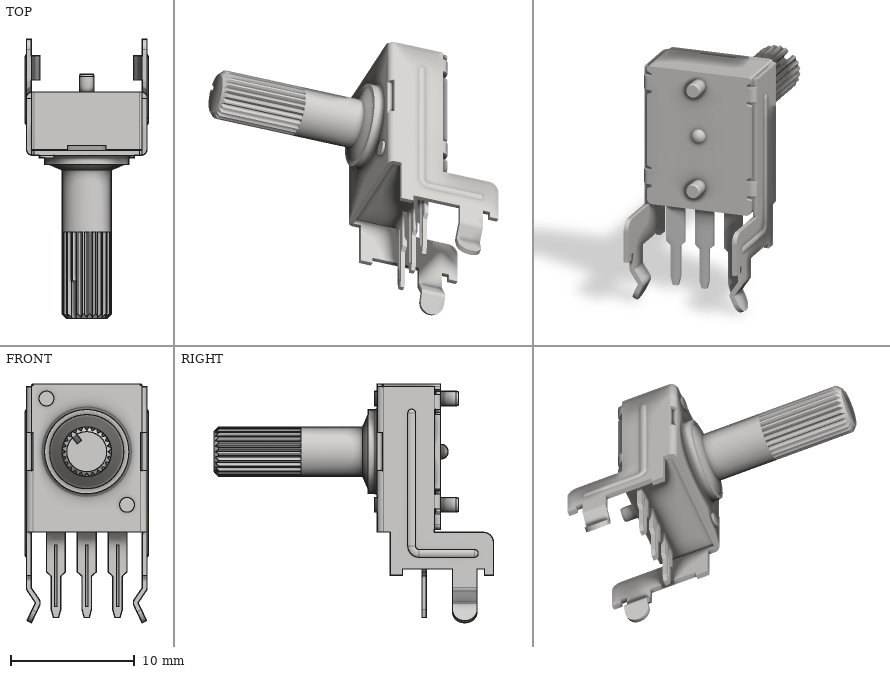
import cadquery as cq
import math


SHEET = 0.4
BRACKET_HALF_WIDTH = 4.88
INNER_HALF_WIDTH = BRACKET_HALF_WIDTH - SHEET
BEND_RADIUS = 0.52
SIDE_TOP = 5.27
SIDE_BACK = 4.6
FRONT_BOTTOM = -6.5
PLATE_CORNER_CHAMFER = 0.2
RELIEF_WIDTH = 3.07

LEG_FRONT = 1.05
LEG_BACK = 9.4
LEG_CORNER_RADIUS = 0.84
LEG_BOTTOM = -9.5
FOOT_BOTTOM = -10.0
FRONT_FOOT_BACK = 2.05
BACK_FOOT_FRONT = 8.65

TONGUE_Y = 7.07
TONGUE_WIDTH = 2.0
TONGUE_BEND_Z = -11.0
TONGUE_KNEE_X = -3.68
TONGUE_KNEE_Z = -12.18
TONGUE_BOTTOM = -13.83
TONGUE_INNER_RADIUS = 0.11
TONGUE_OUTER_RADIUS = TONGUE_INNER_RADIUS + SHEET
TIP_ROUNDING = 0.97

BEAD_HEIGHT = 0.11
BEAD_WIDTH = 0.63
BEAD_RADIUS = ((BEAD_WIDTH / 2) ** 2 + BEAD_HEIGHT ** 2) / (2 * BEAD_HEIGHT)
BEAD_Y = 2.78
BEAD_Z = -8.23
BEAD_TOP = 3.12
BEAD_BACK = 7.85
BEAD_BEND_RADIUS = 0.6

TAB_CENTRES = (4.02, -4.02)
TAB_WIDTH = 1.2
TAB_BEND_RADIUS = 0.5
TAB_REACH = 0.8

COLLAR_DIAMETER = 6.8
COLLAR_BORE = 6.0
COLLAR_LENGTH = 0.75
COLLAR_FILLET = 0.2

HOUSING_BACK = 5.13
HOUSING_TOP = 5.47
HOUSING_BOTTOM = -6.3
TOP_ROUNDING = 0.192
BOTTOM_ROUNDING = 0.4
SEAM = 0.1
TOP_SLOT_BACK = 0.81
TOP_SLOT_DEPTH = 0.35
TAB_POCKET_LENGTH = 2.01
TAB_POCKET_TAPER = 0.15
PIN_DIAMETER = 1.2
POST_Z = 4.3
POST_LENGTH = 1.45
POST_TIP_LENGTH = 0.2
POST_TIP_INSET = 0.07
RIVET_X = 3.25
RIVET_Z = 4.3
RIVET_HEIGHT = 0.2

SHAFT_DIAMETER = 4.0
SHAFT_TIP = -13.2
TIP_CHAMFER = 0.38
CONE_FRONT = -1.18
KNURL_START = -6.17
KNURL_COUNT = 24
GROOVE_DEPTH = 0.27
GROOVE_HALF_WIDTH = 0.2
POINTER_START = -10.15
POINTER_WIDTH = 0.45
POINTER_INNER_RADIUS = 0.97
POINTER_ANGLE = 127.5

TERMINAL_PITCH = 2.49
TERMINAL_FRONT = 3.62
TERMINAL_THICKNESS = 0.36
TERMINAL_WIDTH = 1.54
TERMINAL_NECK = 0.8
TERMINAL_TIP = 0.43
SHOULDER_TOP = -9.72
SHOULDER_BOTTOM = -10.05
TAPER_TOP = -12.75
TERMINAL_BOTTOM = -13.4
TERMINAL_SLOT_WIDTH = 0.2
TERMINAL_SLOT_TOP = -7.53
TERMINAL_SLOT_BOTTOM = -12.5
TERMINAL_SLOT_DEPTH = 0.18


def block(x_range, y_range, z_range):
    """Axis-aligned box from pairs of limits."""
    return (
        cq.Workplane("XY")
        .box(
            x_range[1] - x_range[0],
            y_range[1] - y_range[0],
            z_range[1] - z_range[0],
            centered=False,
        )
        .translate((x_range[0], y_range[0], z_range[0]))
    )


def rod(diameter, y_start, y_end, x=0, z=0):
    """Cylinder parallel to Y."""
    return cq.Workplane(
        cq.Solid.makeCylinder(diameter / 2, y_end - y_start, cq.Vector(x, y_start, z), cq.Vector(0, 1, 0))
    )


def with_mirror(left):
    """Join a left-hand shape with its copy on the +X side."""
    return left.union(left.mirror("YZ"))


def channel():
    """Front plate and two sides, bent from one sheet."""
    outer = block(
        (-BRACKET_HALF_WIDTH, BRACKET_HALF_WIDTH), (0, SIDE_BACK), (FRONT_BOTTOM, SIDE_TOP)
    ).edges("|Z and <Y").fillet(BEND_RADIUS)
    inner = block(
        (-INNER_HALF_WIDTH, INNER_HALF_WIDTH), (SHEET, SIDE_BACK), (FRONT_BOTTOM, SIDE_TOP)
    )
    crown = block(
        (-INNER_HALF_WIDTH, INNER_HALF_WIDTH), (0, SHEET), (0, HOUSING_TOP)
    ).edges("|Y and >Z").chamfer(PLATE_CORNER_CHAMFER)
    return outer.cut(inner).union(crown)


def bend_window():
    """Opening through the left front bend."""
    return block(
        (-BRACKET_HALF_WIDTH, -BRACKET_HALF_WIDTH + BEND_RADIUS),
        (0, SHEET),
        (-RELIEF_WIDTH / 2, RELIEF_WIDTH / 2),
    )


def leg():
    """Left leg plate with its two feet."""
    return (
        cq.Workplane("YZ")
        .moveTo(LEG_FRONT, 0)
        .lineTo(LEG_FRONT, FOOT_BOTTOM)
        .lineTo(FRONT_FOOT_BACK, FOOT_BOTTOM)
        .lineTo(FRONT_FOOT_BACK, LEG_BOTTOM)
        .lineTo(BACK_FOOT_FRONT, LEG_BOTTOM)
        .lineTo(BACK_FOOT_FRONT, FOOT_BOTTOM)
        .lineTo(LEG_BACK, FOOT_BOTTOM)
        .lineTo(LEG_BACK, FRONT_BOTTOM - LEG_CORNER_RADIUS)
        .radiusArc((LEG_BACK - LEG_CORNER_RADIUS, FRONT_BOTTOM), -LEG_CORNER_RADIUS)
        .lineTo(SIDE_BACK, FRONT_BOTTOM)
        .lineTo(SIDE_BACK, 0)
        .close()
        .extrude(SHEET)
        .translate((-BRACKET_HALF_WIDTH, 0, 0))
    )


def offset_corner(before, corner, after, distance):
    """Corner of a line that runs beside before-corner-after, to the right of travel."""
    heading_in = math.atan2(corner[1] - before[1], corner[0] - before[0])
    heading_out = math.atan2(after[1] - corner[1], after[0] - corner[0])
    half_turn = (heading_out - heading_in) / 2
    normal = heading_in + half_turn - math.pi / 2
    mitre = distance / math.cos(half_turn)
    return (corner[0] + mitre * math.cos(normal), corner[1] + mitre * math.sin(normal))


def tongue():
    """Left snap-in tongue: straight, leaning in to a knee, then out to a round tip."""
    root = (-INNER_HALF_WIDTH, LEG_BOTTOM)
    bend = (-INNER_HALF_WIDTH, TONGUE_BEND_Z)
    knee = (TONGUE_KNEE_X, TONGUE_KNEE_Z)
    tip = (-INNER_HALF_WIDTH, TONGUE_BOTTOM)
    outer_root = (-BRACKET_HALF_WIDTH, LEG_BOTTOM)
    outer_bend = offset_corner(root, bend, knee, SHEET)
    outer_knee = offset_corner(bend, knee, tip, SHEET)
    beyond_tip = (2 * tip[0] - knee[0], 2 * tip[1] - knee[1])
    outer_tip = offset_corner(knee, tip, beyond_tip, SHEET)

    strip = (
        cq.Workplane("XZ")
        .polyline([root, bend, knee, tip, outer_tip, outer_knee, outer_bend, outer_root])
        .close()
        .extrude(TONGUE_WIDTH / 2, both=True)
        .translate((0, TONGUE_Y, 0))
    )

    def nearest(point):
        return cq.selectors.NearestToPointSelector((point[0], TONGUE_Y, point[1]))

    for corner in (bend, outer_knee):
        strip = strip.edges(nearest(corner)).fillet(TONGUE_INNER_RADIUS)
    for corner in (outer_bend, knee):
        strip = strip.edges(nearest(corner)).fillet(TONGUE_OUTER_RADIUS)
    tip_middle = ((tip[0] + outer_tip[0]) / 2, (tip[1] + outer_tip[1]) / 2)
    return strip.faces(nearest(tip_middle)).edges("not |Y").fillet(TIP_ROUNDING)


def bead():
    """L-shaped bead on the left side: the outer slice of a bent round bar."""
    path = (
        cq.Workplane("YZ")
        .moveTo(BEAD_Y, BEAD_TOP)
        .lineTo(BEAD_Y, BEAD_Z + BEAD_BEND_RADIUS)
        .radiusArc((BEAD_Y + BEAD_BEND_RADIUS, BEAD_Z), -BEAD_BEND_RADIUS)
        .lineTo(BEAD_BACK, BEAD_Z)
    )
    bar = cq.Workplane("XY").center(0, BEAD_Y).workplane(offset=BEAD_TOP).circle(BEAD_RADIUS).sweep(path)
    for y, z in ((BEAD_Y, BEAD_TOP), (BEAD_BACK, BEAD_Z)):
        bar = bar.union(cq.Workplane("XY").sphere(BEAD_RADIUS).translate((0, y, z)))
    bar = bar.translate((BEAD_RADIUS - BEAD_HEIGHT - BRACKET_HALF_WIDTH, 0, 0))
    slice_box = block(
        (-BRACKET_HALF_WIDTH - SHEET, -BRACKET_HALF_WIDTH + SHEET / 2),
        (0, LEG_BACK),
        (FOOT_BOTTOM, SIDE_TOP),
    )
    return bar.intersect(slice_box)


def tab(z):
    """Left tab folded over the housing back at height z."""
    z_range = (z - TAB_WIDTH / 2, z + TAB_WIDTH / 2)
    reach = -BRACKET_HALF_WIDTH + TAB_REACH
    outer = block((-BRACKET_HALF_WIDTH, reach), (SIDE_BACK, HOUSING_BACK), z_range)
    inner = block((-INNER_HALF_WIDTH, reach), (SIDE_BACK, HOUSING_BACK - SHEET), z_range)
    return outer.edges("|Z and <X and >Y").fillet(TAB_BEND_RADIUS).cut(inner)


def collar():
    """Round boss on the front plate, with a concave fillet at its foot."""
    radius = COLLAR_DIAMETER / 2
    return (
        cq.Workplane("XY")
        .moveTo(0, SHEET)
        .lineTo(radius + COLLAR_FILLET, SHEET)
        .lineTo(radius + COLLAR_FILLET, 0)
        .radiusArc((radius, -COLLAR_FILLET), -COLLAR_FILLET)
        .lineTo(radius, -COLLAR_LENGTH)
        .lineTo(0, -COLLAR_LENGTH)
        .close()
        .revolve(360, (0, 0, 0), (0, 1, 0))
    )


def make_bracket():
    """Bent sheet-metal bracket with legs, tongues, beads, tabs and collar."""
    bracket = channel().cut(with_mirror(bend_window()))
    left_parts = [leg(), tongue(), bead()]
    left_parts += [tab(z) for z in TAB_CENTRES]
    for part in left_parts:
        bracket = bracket.union(with_mirror(part))

    bracket = bracket.union(collar())
    return bracket.cut(rod(COLLAR_BORE, -COLLAR_LENGTH, SHEET)).cut(rivets())


def rivets():
    """Two round pegs through the front plate, at opposite corners."""
    upper = rod(PIN_DIAMETER, -RIVET_HEIGHT, SHEET, -RIVET_X, RIVET_Z)
    lower = rod(PIN_DIAMETER, -RIVET_HEIGHT, SHEET, RIVET_X, -RIVET_Z)
    return upper.add(lower).combine()


def post(z):
    """Locating post on the housing back with a slightly tapered tip."""
    return (
        rod(PIN_DIAMETER, HOUSING_BACK, HOUSING_BACK + POST_LENGTH, 0, z)
        .faces(">Y")
        .chamfer(POST_TIP_LENGTH, POST_TIP_INSET)
    )


def tab_pocket(z):
    """Recess in the left back edge of the housing for one tab, with sloped ends."""
    mouth = TAB_POCKET_LENGTH / 2
    floor = mouth - TAB_POCKET_TAPER
    floor_x = -BRACKET_HALF_WIDTH + TAB_REACH
    return (
        cq.Workplane("XZ")
        .polyline(
            [
                (-INNER_HALF_WIDTH, z - mouth),
                (floor_x, z - floor),
                (floor_x, z + floor),
                (-INNER_HALF_WIDTH, z + mouth),
            ]
        )
        .close()
        .extrude(SHEET)
        .translate((0, HOUSING_BACK, 0))
    )


def make_housing():
    """Plastic housing inside the bracket, with posts, a pivot dome and front rivets."""
    full_width = (-INNER_HALF_WIDTH, INNER_HALF_WIDTH)
    housing = (
        block(full_width, (SHEET, HOUSING_BACK), (HOUSING_BOTTOM, HOUSING_TOP))
        .edges("|Y and >Z")
        .fillet(TOP_ROUNDING)
        .edges("|Y and <Z")
        .fillet(BOTTOM_ROUNDING)
    )
    seam = block(full_width, (SHEET, SHEET + SEAM), (HOUSING_TOP - SEAM, HOUSING_TOP))
    top_slot = block(
        (-RELIEF_WIDTH / 2, RELIEF_WIDTH / 2),
        (SHEET, TOP_SLOT_BACK),
        (HOUSING_TOP - TOP_SLOT_DEPTH, HOUSING_TOP),
    )
    housing = housing.cut(seam).cut(top_slot)
    for z in TAB_CENTRES:
        housing = housing.cut(with_mirror(tab_pocket(z)))
    for z in (POST_Z, -POST_Z):
        housing = housing.union(post(z))
    dome = cq.Workplane("XY").sphere(PIN_DIAMETER / 2).translate((0, HOUSING_BACK, 0))
    return housing.union(dome).union(rivets())


def knurl_groove():
    """V-shaped cutter for one knurl groove, above the shaft axis."""
    bottom = SHAFT_DIAMETER / 2 - GROOVE_DEPTH
    top = bottom + 2 * GROOVE_DEPTH
    half_width = 2 * GROOVE_HALF_WIDTH
    return (
        cq.Workplane("XZ", origin=(0, KNURL_START, 0))
        .polyline([(0, bottom), (half_width, top), (-half_width, top)])
        .close()
        .extrude(KNURL_START - SHAFT_TIP)
    )


def make_shaft():
    """Shaft whose flange fills the collar, with a knurled end and a pointer slot."""
    radius = SHAFT_DIAMETER / 2
    shaft = (
        cq.Workplane("XY")
        .polyline(
            [
                (0, SHEET),
                (COLLAR_BORE / 2, SHEET),
                (COLLAR_BORE / 2, -COLLAR_LENGTH),
                (radius, CONE_FRONT),
                (radius, SHAFT_TIP + TIP_CHAMFER),
                (radius - TIP_CHAMFER, SHAFT_TIP),
                (0, SHAFT_TIP),
            ]
        )
        .close()
        .revolve(360, (0, 0, 0), (0, 1, 0))
    )
    groove = knurl_groove()
    for i in range(KNURL_COUNT):
        shaft = shaft.cut(groove.rotate((0, 0, 0), (0, 1, 0), i * 360 / KNURL_COUNT))
    pointer = block(
        (POINTER_INNER_RADIUS, SHAFT_DIAMETER),
        (SHAFT_TIP, POINTER_START),
        (-POINTER_WIDTH / 2, POINTER_WIDTH / 2),
    )
    return shaft.cut(pointer.rotate((0, 0, 0), (0, 1, 0), -POINTER_ANGLE))


def make_terminal(x):
    """Flat solder pin hanging from the housing, with a groove down its front."""
    right_edge = [
        (TERMINAL_WIDTH / 2, HOUSING_BOTTOM),
        (TERMINAL_WIDTH / 2, SHOULDER_TOP),
        (TERMINAL_NECK / 2, SHOULDER_BOTTOM),
        (TERMINAL_NECK / 2, TAPER_TOP),
        (TERMINAL_TIP / 2, TERMINAL_BOTTOM),
    ]
    left_edge = [(-px, pz) for px, pz in reversed(right_edge)]
    blade = (
        cq.Workplane("XZ", origin=(0, TERMINAL_FRONT, 0))
        .polyline(right_edge + left_edge)
        .close()
        .extrude(-TERMINAL_THICKNESS)
    )
    slot = block(
        (-TERMINAL_SLOT_WIDTH / 2, TERMINAL_SLOT_WIDTH / 2),
        (TERMINAL_FRONT, TERMINAL_FRONT + TERMINAL_SLOT_DEPTH),
        (TERMINAL_SLOT_BOTTOM, TERMINAL_SLOT_TOP),
    )
    return blade.cut(slot).translate((x, 0, 0))


bracket = make_bracket()
housing = make_housing()
shaft = make_shaft()
terminals = [make_terminal(i * TERMINAL_PITCH).val() for i in (-1, 0, 1)]

result = cq.Compound.makeCompound([bracket.val(), housing.val(), shaft.val(), *terminals])